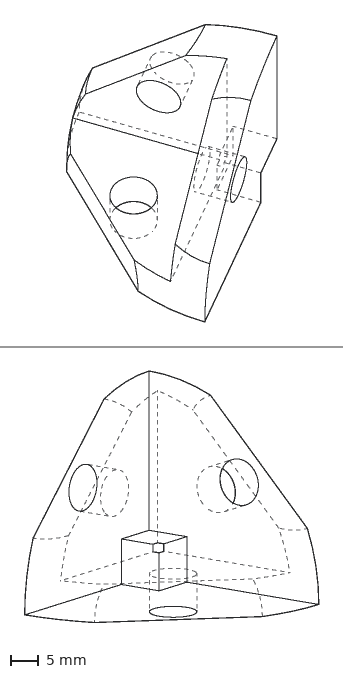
import cadquery as cq

size = 37.7
wall = 7.0
chamfer_reach = 48.77
hole_diameter = 8.48
hole_offset = 20.0
corner_relief = 8.35

wall_planes = (
    cq.Plane(origin=(0, 0, 0), xDir=(-1, 0, 0), normal=(0, 0, 1)),
    cq.Plane(origin=(0, 0, 0), xDir=(0, -1, 0), normal=(-1, 0, 0)),
    cq.Plane(origin=(0, 0, 0), xDir=(0, 0, 1), normal=(0, -1, 0)),
)


def corner_cube(side):
    """Cube that fills the bracket's octant from the outer corner."""
    return cq.Workplane("XY").box(side, side, side, centered=False).translate((-side, -side, 0))


def diagonal_prism(plane):
    """Triangular prism that trims one wall's outer corner diagonally."""
    outline = [(0, 0), (chamfer_reach, 0), (0, chamfer_reach)]
    return cq.Workplane(plane).polyline(outline).close().extrude(size)


def bolt_hole(plane):
    """Cylinder through one wall."""
    return cq.Workplane(plane).center(hole_offset, hole_offset).circle(hole_diameter / 2).extrude(wall)


inner_space = corner_cube(size).translate((-wall, -wall, wall))
result = corner_cube(size).intersect(cq.Workplane("XY").sphere(size)).cut(inner_space)
for wall_plane in wall_planes:
    result = result.intersect(diagonal_prism(wall_plane))
    result = result.cut(bolt_hole(wall_plane))

result = result.cut(corner_cube(corner_relief))